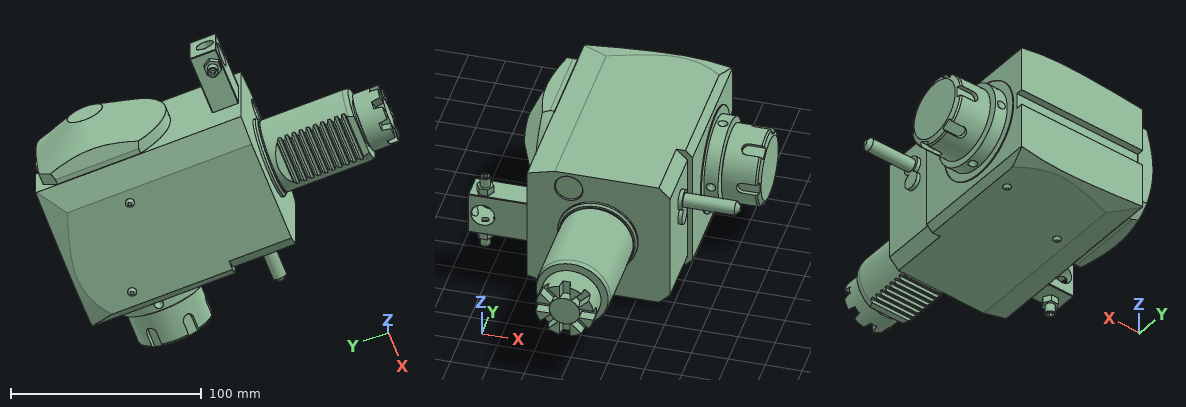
import cadquery as cq
import math


EMBED = 1.8

HALF_HEIGHT = 37.5
LEFT_X = -38.6
RIGHT_X = 41.8
BACK_Y = 116.0
BEVEL_INNER_X = -23.5
BEVEL_OUTER_Z = 33.5
RIGHT_CHAMFER = 3.9
STEP_X = 39.0
STEP_Y = 35.1
STEP_CHAMFER = 6.0
KEYWAY_WIDTH = 10.0
KEYWAY_DEPTH = 4.0
BACK_SLOPE = 13.0
CROWN = [(-42.3, 33.0), (-23.5, 34.8), (-3.0, 36.2), (13.6, 36.8), (37.9, 34.5), (43.2, 33.5)]
PLUG_X, PLUG_Z = -16.0, 27.8
PLUG_MOUTH_RADIUS, PLUG_FLOOR_RADIUS = 7.7, 7.4
PLUG_DEPTH = 0.7

SPINDLE_Y = 80.0
CAP_RADIUS = 40.3
CAP_EDGE_X = -45.0
CAP_TIP_RADIUS = 10.0
CAP_TIP_X = -58.9
CAP_BACK_Y = 111.5
CAP_HALF_HEIGHT = 32.8
SPINDLE_END_X = 71.5
SEAT_RADIUS, SEAT_END_X = 29.0, 42.3
COLLAR_RADIUS, COLLAR_END_X = 24.3, 50.0
NECK_RADIUS = 17.7
NUT_RADIUS, NUT_START_X = 21.0, 51.0
NUT_CHAMFER = 2.2
NUT_EDGE_DROP, NUT_FACE_DROP = 0.5, 3.5
NUT_SLOT_COUNT = 6
NUT_SLOT_WIDTH = 6.5
NUT_SLOT_START_X = 59.2
NUT_SLOT_DEPTH = 2.5
COLLAR_HOLE_COUNT = 4
COLLAR_HOLE_RADIUS = 2.5
COLLAR_HOLE_DEPTH = 2.5

SHANK_RADIUS = 20.0
SHANK_END_Y = -52.6
FLANGE_RADIUS = 21.7
FLANGE_LENGTH = 2.4
FLANGE_CHAMFER = 1.1
GROOVE_WIDTH, GROOVE_DEPTH = 0.7, 0.4
LEAD_LENGTH, LEAD_DEPTH = 2.8, 0.5
DRIVE_END_Y = -68.0
DRIVE_RADIUS = 16.0
DRIVE_START_Y = -54.0
DRIVE_NECK_RADIUS = 13.0
DRIVE_CORE_RADIUS = 8.3
DRIVE_SLOT_COUNT = 8
DRIVE_SLOT_DEPTH = 4.8
DRIVE_SLOT_MOUTH = 5.7
DRIVE_SLOT_ROOT = 4.0
RACK_FLAT_Z = -16.2
RACK_START_Y = -9.5
RACK_LENGTH = 40.0
RACK_GROOVES = 10
RACK_DEPTH = 1.5
RACK_ROOT_WIDTH = 1.5
RACK_MOUTH_WIDTH = 3.1

BLOCK_LEFT_X = -71.0
BLOCK_FRONT_Y, BLOCK_BACK_Y = 1.3, 16.2
BLOCK_HALF_HEIGHT = 12.3
BLOCK_EDGE = 0.4
SCREW_X, SCREW_Y = -63.0, 6.3
CROSS_HOLE_RADIUS = 6.5
SIDE_HOLE_Y = 7.5
SIDE_HOLE_RADIUS = 4.8
SIDE_HOLE_END_X = -49.7
NEEDLE_HOLE_RADIUS = 1.7
NEEDLE_HOLE_DEPTH = 5.5
SCREW_RADIUS = 2.8
SCREW_END_Z = 22.3
SCREW_EDGE = 0.4
SCREW_BORE_RADIUS, SCREW_BORE_DEPTH = 1.8, 1.8
SOCKET_ACROSS_CORNERS, SOCKET_DEPTH = 3.0, 2.8
HEX_ACROSS_CORNERS = 9.2
HEX_HEIGHT = 4.0

PIN_Y, PIN_Z = 21.0, 16.2
PIN_RADIUS = 3.9
PIN_CHAMFER = 2.4
PIN_COLLAR_RADIUS = 5.5
PIN_COLLAR_LENGTH = 2.2
BUTTON_Z = 6.3
BUTTON_RADIUS = 5.2

NIPPLE_MID_X = 6.8
NIPPLE_DX, NIPPLE_DY = 23.4, 8.6
NIPPLE_HEIGHT = 1.5
NIPPLE_BASE_RADIUS = 2.4
NIPPLE_TIP_RADIUS = 1.0


def box(x0, x1, y0, y1, z0, z1):
    """Box between opposite corners."""
    return cq.Workplane("XY").box(x1 - x0, y1 - y0, z1 - z0, centered=False).translate((x0, y0, z0))


def turned_x(profile):
    """Body turned about the spindle axis from (x, radius) points."""
    return (
        cq.Workplane("XY", origin=(0, SPINDLE_Y, 0))
        .polyline(profile).close().revolve(360, (0, 0), (1, 0))
    )


def cylinder_x(x0, x1, y, z, radius):
    """Cylinder along X."""
    return cq.Workplane("YZ", origin=(x0, y, z)).circle(radius).extrude(x1 - x0)


def bevel_prism(left_x, right_x):
    """Prism along Y bounded at top and bottom by the left bevels, extended out to left_x."""
    slope = (HALF_HEIGHT - BEVEL_OUTER_Z) / (BEVEL_INNER_X - LEFT_X)
    left_z = HALF_HEIGHT - slope * (BEVEL_INNER_X - left_x)
    outline = [
        (left_x, -left_z), (BEVEL_INNER_X, -HALF_HEIGHT), (right_x, -HALF_HEIGHT),
        (right_x, HALF_HEIGHT), (BEVEL_INNER_X, HALF_HEIGHT), (left_x, left_z),
    ]
    return cq.Workplane("XZ").polyline(outline).close().extrude(-BACK_Y)


def crowned_back():
    """Sloping prism whose crowned top rounds off the upper rear of the housing."""
    slope = math.radians(BACK_SLOPE)
    points = [(x, z * math.cos(slope)) for x, z in CROWN]
    plane = cq.Plane(
        origin=(0, BACK_Y, 0), xDir=(1, 0, 0), normal=(0, -math.cos(slope), math.sin(slope))
    )
    depth = 3 * HALF_HEIGHT
    length = 2 * BACK_Y
    outline = (
        cq.Workplane(plane).moveTo(points[0][0], -depth).lineTo(*points[0])
        .spline(points[1:], includeCurrent=True)
        .lineTo(points[-1][0], -depth).close()
    )
    return outline.extrude(length, both=True)


def housing():
    """Bevelled block with crowned rear edges, stepped right side, rear keyway and plug recess."""
    body = bevel_prism(LEFT_X, RIGHT_X)
    body = body.edges("|Y and >X").chamfer(RIGHT_CHAMFER)
    back = crowned_back()
    body = body.intersect(back).intersect(back.mirror("XY"))
    step = box(0, STEP_X, 0, STEP_Y, -HALF_HEIGHT, HALF_HEIGHT)
    step = step.edges("|Y and >X").chamfer(STEP_CHAMFER)
    front_zone = box(0, RIGHT_X, 0, STEP_Y, -HALF_HEIGHT, HALF_HEIGHT)
    body = body.cut(front_zone.cut(step))
    keyway = box(
        LEFT_X, RIGHT_X, BACK_Y - KEYWAY_DEPTH, BACK_Y, -KEYWAY_WIDTH / 2, KEYWAY_WIDTH / 2
    )
    plug_recess = cq.Solid.makeCone(
        PLUG_MOUTH_RADIUS, PLUG_FLOOR_RADIUS, PLUG_DEPTH,
        pnt=cq.Vector(PLUG_X, 0, PLUG_Z), dir=cq.Vector(0, 1, 0),
    )
    return body.cut(keyway).cut(cq.Workplane(plug_recess))


def rear_cap():
    """Conical cap, trimmed by the housing bevels, by a flat at the back and by flats above and below."""
    cap = turned_x([
        (LEFT_X, 0), (LEFT_X, CAP_RADIUS), (CAP_EDGE_X, CAP_RADIUS),
        (CAP_TIP_X, CAP_TIP_RADIUS), (CAP_TIP_X, 0),
    ])
    cap = cap.intersect(bevel_prism(CAP_TIP_X, LEFT_X + EMBED))
    trim = box(CAP_TIP_X, LEFT_X, 0, CAP_BACK_Y, -CAP_HALF_HEIGHT, CAP_HALF_HEIGHT)
    return cap.intersect(trim)


def nut_slots():
    """Round-ended spanner slots, open at the nut's outer end."""
    slots = cq.Workplane("XY")
    for i in range(NUT_SLOT_COUNT):
        centre_x = NUT_SLOT_START_X + NUT_SLOT_WIDTH / 2
        start = cq.Workplane("XY", origin=(0, SPINDLE_Y, NUT_RADIUS - NUT_SLOT_DEPTH))
        slot = start.center(centre_x, 0).circle(NUT_SLOT_WIDTH / 2).extrude(2 * NUT_SLOT_DEPTH)
        slot = slot.union(
            box(centre_x, SPINDLE_END_X, SPINDLE_Y - NUT_SLOT_WIDTH / 2, SPINDLE_Y + NUT_SLOT_WIDTH / 2,
                NUT_RADIUS - NUT_SLOT_DEPTH, NUT_RADIUS + NUT_SLOT_DEPTH)
        )
        angle = 360 / NUT_SLOT_COUNT * (i + 0.5)
        slots = slots.add(slot.rotate((0, SPINDLE_Y, 0), (1, SPINDLE_Y, 0), angle))
    return slots.combine()


def spindle():
    """Seat, collar with conical spanner holes, and clamping nut."""
    nose = turned_x([
        (RIGHT_X - EMBED, 0), (RIGHT_X - EMBED, SEAT_RADIUS), (SEAT_END_X, SEAT_RADIUS),
        (SEAT_END_X, COLLAR_RADIUS), (COLLAR_END_X, COLLAR_RADIUS),
        (COLLAR_END_X, NECK_RADIUS), (NUT_START_X, NECK_RADIUS),
        (NUT_START_X, NUT_RADIUS), (SPINDLE_END_X - NUT_CHAMFER, NUT_RADIUS),
        (SPINDLE_END_X - NUT_CHAMFER / 2, NUT_RADIUS - NUT_EDGE_DROP),
        (SPINDLE_END_X, NUT_RADIUS - NUT_FACE_DROP), (SPINDLE_END_X, 0),
    ])
    hole_x = (SEAT_END_X + COLLAR_END_X) / 2
    for i in range(COLLAR_HOLE_COUNT):
        mouth = cq.Vector(hole_x, SPINDLE_Y, COLLAR_RADIUS)
        cone = cq.Solid.makeCone(
            COLLAR_HOLE_RADIUS, 0, COLLAR_HOLE_DEPTH, pnt=mouth, dir=cq.Vector(0, 0, -1)
        )
        hole = cq.Workplane(cone)
        angle = 360 / COLLAR_HOLE_COUNT * i
        nose = nose.cut(hole.rotate((0, SPINDLE_Y, 0), (1, SPINDLE_Y, 0), angle))
    return nose.cut(nut_slots())


def shank_blank():
    """Flange, relief groove, shank with a tapered lead, and the drive end on its neck."""
    groove_radius = SHANK_RADIUS - GROOVE_DEPTH
    groove_end = -FLANGE_LENGTH - GROOVE_WIDTH
    profile = [
        (0, EMBED), (FLANGE_RADIUS, EMBED), (FLANGE_RADIUS, FLANGE_CHAMFER - FLANGE_LENGTH),
        (FLANGE_RADIUS - FLANGE_CHAMFER, -FLANGE_LENGTH), (groove_radius, -FLANGE_LENGTH),
        (groove_radius, groove_end), (SHANK_RADIUS, groove_end),
        (SHANK_RADIUS, SHANK_END_Y + LEAD_LENGTH), (SHANK_RADIUS - LEAD_DEPTH, SHANK_END_Y),
        (DRIVE_NECK_RADIUS, SHANK_END_Y), (DRIVE_NECK_RADIUS, DRIVE_START_Y),
        (DRIVE_RADIUS, DRIVE_START_Y), (DRIVE_RADIUS, DRIVE_END_Y), (0, DRIVE_END_Y),
    ]
    return cq.Workplane("XY").polyline(profile).close().revolve(360, (0, 0), (0, 1))


def rack():
    """Toothed flat along the underside of the shank, with a 45 degree run-out."""
    pitch = RACK_LENGTH / RACK_GROOVES
    drop = SHANK_RADIUS + RACK_FLAT_Z
    width = 2 * SHANK_RADIUS
    cutter = (
        cq.Workplane("YZ", origin=(-width / 2, 0, 0))
        .polyline([
            (RACK_START_Y, RACK_FLAT_Z), (RACK_START_Y + drop, RACK_FLAT_Z - drop),
            (SHANK_END_Y, RACK_FLAT_Z - drop), (SHANK_END_Y, RACK_FLAT_Z),
        ]).close().extrude(width)
    )
    for i in range(RACK_GROOVES):
        y = RACK_START_Y - pitch * (i + 0.5)
        groove = (
            cq.Workplane("YZ", origin=(-width / 2, y, RACK_FLAT_Z))
            .polyline([
                (-RACK_MOUTH_WIDTH / 2, 0), (-RACK_ROOT_WIDTH / 2, RACK_DEPTH),
                (RACK_ROOT_WIDTH / 2, RACK_DEPTH), (RACK_MOUTH_WIDTH / 2, 0),
            ]).close().extrude(width)
        )
        cutter = cutter.union(groove)
    return cutter


def drive_slots():
    """Tapered radial slots in the drive end, stopping at its solid core."""
    core = cq.Workplane("XZ").circle(DRIVE_CORE_RADIUS).extrude(-DRIVE_END_Y)
    slot = (
        cq.Workplane("XY", origin=(0, DRIVE_END_Y, 0))
        .polyline([
            (-DRIVE_SLOT_MOUTH / 2, 0), (-DRIVE_SLOT_ROOT / 2, DRIVE_SLOT_DEPTH),
            (DRIVE_SLOT_ROOT / 2, DRIVE_SLOT_DEPTH), (DRIVE_SLOT_MOUTH / 2, 0),
        ]).close().extrude(DRIVE_RADIUS)
    )
    slots = cq.Workplane("XY")
    for i in range(DRIVE_SLOT_COUNT):
        slots = slots.add(slot.rotate((0, 0, 0), (0, 1, 0), 360 / DRIVE_SLOT_COUNT * i))
    return slots.combine().cut(core)


def coolant_block():
    """Block on the left side, bored along Y, with a side hole and screw bores meeting the bore."""
    body = box(
        BLOCK_LEFT_X, LEFT_X, BLOCK_FRONT_Y, BLOCK_BACK_Y, -BLOCK_HALF_HEIGHT, BLOCK_HALF_HEIGHT
    )
    body = body.edges("|X or <X").chamfer(BLOCK_EDGE)
    cross_hole = (
        cq.Workplane("XZ", origin=(SCREW_X, 0, 0)).circle(CROSS_HOLE_RADIUS).extrude(-BLOCK_BACK_Y)
    )
    side_hole = cylinder_x(BLOCK_LEFT_X, SIDE_HOLE_END_X, SIDE_HOLE_Y, 0, SIDE_HOLE_RADIUS)
    needle_end = SIDE_HOLE_END_X + NEEDLE_HOLE_DEPTH
    needle_hole = cylinder_x(SIDE_HOLE_END_X, needle_end, SIDE_HOLE_Y, 0, NEEDLE_HOLE_RADIUS)
    screw_bore = (
        cq.Workplane("XY", origin=(SCREW_X, SCREW_Y, 0))
        .circle(SCREW_BORE_RADIUS).extrude(CROSS_HOLE_RADIUS + SCREW_BORE_DEPTH, both=True)
    )
    return body.cut(cross_hole).cut(side_hole).cut(needle_hole).cut(screw_bore)


def clamping_screw():
    """Upper socket-headed stud with its hexagon nut; the lower one is its mirror image."""
    base = cq.Workplane("XY", origin=(SCREW_X, SCREW_Y, BLOCK_HALF_HEIGHT))
    stud = base.circle(SCREW_RADIUS).extrude(SCREW_END_Z - BLOCK_HALF_HEIGHT)
    stud = stud.faces(">Z").chamfer(SCREW_EDGE)
    socket = (
        cq.Workplane("XY", origin=(SCREW_X, SCREW_Y, SCREW_END_Z))
        .polygon(6, SOCKET_ACROSS_CORNERS).extrude(-SOCKET_DEPTH)
    )
    stud = stud.cut(socket)
    return stud.union(base.polygon(6, HEX_ACROSS_CORNERS).extrude(HEX_HEIGHT))


def torque_pin():
    """Pin with its collar and the flat button below it, overlapping the collar."""
    pin = cylinder_x(STEP_X - EMBED, SPINDLE_END_X, PIN_Y, PIN_Z, PIN_RADIUS)
    pin = pin.faces(">X").chamfer(PIN_CHAMFER)
    collar_end = STEP_X + PIN_COLLAR_LENGTH
    collar = cylinder_x(STEP_X - EMBED, collar_end, PIN_Y, PIN_Z, PIN_COLLAR_RADIUS)
    button = cylinder_x(STEP_X - EMBED, collar_end, PIN_Y, BUTTON_Z, BUTTON_RADIUS)
    return pin.union(collar).union(button)


def nipple(side):
    """Small conical nipple under the housing."""
    place = (NIPPLE_MID_X + side * NIPPLE_DX, SPINDLE_Y + side * NIPPLE_DY, -HALF_HEIGHT)
    cone = cq.Solid.makeCone(
        NIPPLE_BASE_RADIUS, NIPPLE_TIP_RADIUS, NIPPLE_HEIGHT, pnt=cq.Vector(*place), dir=cq.Vector(0, 0, -1)
    )
    return cq.Workplane(cone)


screw = clamping_screw()
shank = shank_blank().cut(rack()).cut(drive_slots())

result = housing().union(rear_cap()).union(spindle()).union(shank).union(torque_pin())
result = result.union(coolant_block()).union(screw).union(screw.mirror("XY"))
for side in (-1, 1):
    result = result.union(nipple(side))